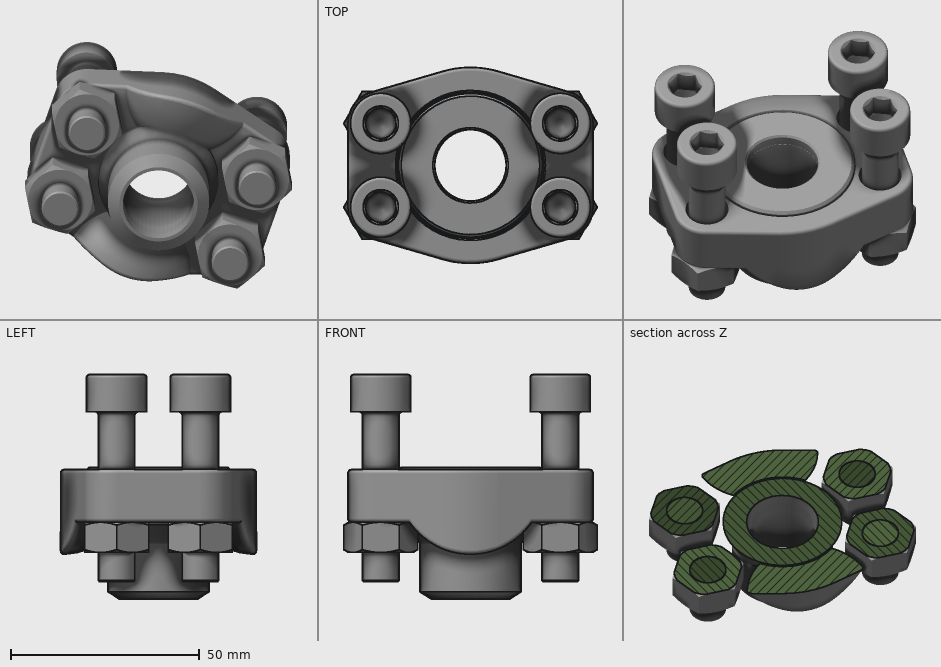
import cadquery as cq
import math


BOLT_SPACING_X = 47.6
BOLT_SPACING_Y = 22.2
BOLT_CENTERS = [
    (side_x * BOLT_SPACING_X / 2, side_y * BOLT_SPACING_Y / 2)
    for side_x in (-1, 1)
    for side_y in (-1, 1)
]

FLANGE_LENGTH = 65.0
FLANGE_WIDTH = 52.0
FLANGE_HEIGHT = 14.0
FLANGE_EDGE_FILLET = 1.0
BOLT_HOLE_DIAMETER = 11.4
LOBE_RADIUS = 21.0
LOBE_DROP = 8.5
LOBE_CENTER_Y = FLANGE_WIDTH / 2

COLLAR_DIAMETER = 38.1
COLLAR_SEAT_DIAMETER = 38.9
COLLAR_SEAT_DEPTH = 6.2
COLLAR_PROTRUSION = 0.6
COLLAR_CHAMFER = 0.7
SEAT_CHAMFER = 0.45
HUB_DIAMETER = 31.6
HUB_HOLE_DIAMETER = 32.15
HUB_TAPER_TOP_Z = -0.6
HUB_BOTTOM_Z = -5.5
HUB_FILLET = 1.0
TUBE_DIAMETER = 26.9
TUBE_BOTTOM_Z = -20.4
TUBE_BEVEL_WIDTH = 3.1
TUBE_BEVEL_HEIGHT = 2.0
BORE_DIAMETER = 18.9
BORE_ENTRY_DIAMETER = 19.0
BORE_ENTRY_DEPTH = 3.0
BORE_CHAMFER = 0.5

SHANK_DIAMETER = 9.73
BOLT_LENGTH = 45.1
HEAD_DIAMETER = 16.0
HEAD_HEIGHT = 9.9
HEAD_TOP_Z = 39.2
HEAD_FILLET = 0.9
NECK_FILLET = 0.9
TIP_CHAMFER = 0.4
SOCKET_WIDTH = 8.0
SOCKET_DEPTH = 6.0
SOCKET_TURN = 38.0
SOCKET_ENTRY_MARGIN = 0.05
SOCKET_CONE_HEIGHT = 2.4

NUT_WIDTH = 17.0
NUT_HEIGHT = 8.0
NUT_CHAMFER_ANGLE = 30.0

HEX_CORNER_RATIO = 1 / math.cos(math.pi / 6)

SMALL_GAP = 0.01


def cylinder(diameter, bottom, top):
    return cq.Workplane("XY").workplane(offset=bottom).circle(diameter / 2).extrude(top - bottom)


def flange_outline():
    """Four corner arcs round the bolts, two end arcs round the bore, joined by tangent lines."""
    bolt_x = BOLT_SPACING_X / 2
    bolt_y = BOLT_SPACING_Y / 2
    half_length = FLANGE_LENGTH / 2
    end_radius = FLANGE_WIDTH / 2
    corner_radius = half_length - bolt_x

    normal_angle = math.atan2(bolt_x, bolt_y) - math.acos(
        (end_radius - corner_radius) / math.hypot(bolt_x, bolt_y)
    )

    def on_corner(angle):
        return (bolt_x + corner_radius * math.sin(angle), bolt_y + corner_radius * math.cos(angle))

    def on_end(angle):
        return (end_radius * math.sin(angle), end_radius * math.cos(angle))

    end_start = on_end(normal_angle)
    corner_start = on_corner(normal_angle)
    corner_middle = on_corner((normal_angle + math.pi / 2) / 2)

    def mirrored(point, side_x, side_y):
        return (side_x * point[0], side_y * point[1])

    return (
        cq.Workplane("XY")
        .moveTo(*mirrored(end_start, -1, 1))
        .threePointArc((0, end_radius), end_start)
        .lineTo(*corner_start)
        .threePointArc(corner_middle, (half_length, bolt_y))
        .lineTo(half_length, -bolt_y)
        .threePointArc(mirrored(corner_middle, 1, -1), mirrored(corner_start, 1, -1))
        .lineTo(*mirrored(end_start, 1, -1))
        .threePointArc((0, -end_radius), mirrored(end_start, -1, -1))
        .lineTo(*mirrored(corner_start, -1, -1))
        .threePointArc(mirrored(corner_middle, -1, -1), (-half_length, -bolt_y))
        .lineTo(-half_length, bolt_y)
        .threePointArc(mirrored(corner_middle, -1, 1), mirrored(corner_start, -1, 1))
        .close()
    )


def make_flange():
    plate = flange_outline().extrude(FLANGE_HEIGHT)
    lobe_space = flange_outline().extrude(-2 * LOBE_DROP)

    body = plate
    for side_y in (-1, 1):
        ball = (
            cq.Workplane("XZ")
            .sphere(LOBE_RADIUS)
            .translate((0, side_y * LOBE_CENTER_Y, LOBE_RADIUS - LOBE_DROP))
        )
        body = body.union(ball.intersect(lobe_space))

    body = body.faces(">Z").edges().fillet(FLANGE_EDGE_FILLET)

    below_plate = cq.selectors.BoxSelector(
        (-FLANGE_LENGTH, -FLANGE_WIDTH, -2 * LOBE_DROP), (FLANGE_LENGTH, FLANGE_WIDTH, SMALL_GAP)
    )
    lobe_seams = cq.selectors.BoxSelector(
        (-SMALL_GAP, -FLANGE_WIDTH, -SMALL_GAP), (SMALL_GAP, FLANGE_WIDTH, SMALL_GAP)
    )
    body = body.edges(below_plate - lobe_seams).fillet(FLANGE_EDGE_FILLET)

    seat_floor = FLANGE_HEIGHT - COLLAR_SEAT_DEPTH
    seat = cylinder(COLLAR_SEAT_DIAMETER, seat_floor, FLANGE_HEIGHT)
    seat_radius = COLLAR_SEAT_DIAMETER / 2
    seat_chamfer = cq.Workplane(
        cq.Solid.makeCone(
            seat_radius,
            seat_radius + SEAT_CHAMFER,
            SEAT_CHAMFER,
            pnt=cq.Vector(0, 0, FLANGE_HEIGHT - SEAT_CHAMFER),
        )
    )
    body = body.cut(seat).cut(seat_chamfer)
    body = body.cut(cylinder(HUB_HOLE_DIAMETER, -LOBE_DROP, FLANGE_HEIGHT))
    for center in BOLT_CENTERS:
        hole = cylinder(BOLT_HOLE_DIAMETER, -LOBE_DROP, FLANGE_HEIGHT)
        body = body.cut(hole.translate((*center, 0)))
    return body


def make_sleeve():
    top = FLANGE_HEIGHT + COLLAR_PROTRUSION
    seat_floor = FLANGE_HEIGHT - COLLAR_SEAT_DEPTH
    collar_radius = COLLAR_DIAMETER / 2
    hub_radius = HUB_DIAMETER / 2
    tube_radius = TUBE_DIAMETER / 2
    bore_radius = BORE_DIAMETER / 2
    entry_radius = BORE_ENTRY_DIAMETER / 2
    profile = (
        cq.Workplane("XZ")
        .moveTo(entry_radius + BORE_CHAMFER, top)
        .lineTo(collar_radius - COLLAR_CHAMFER, top)
        .lineTo(collar_radius, top - COLLAR_CHAMFER)
        .lineTo(collar_radius, seat_floor)
        .lineTo(hub_radius, seat_floor)
        .lineTo(hub_radius, HUB_TAPER_TOP_Z)
        .lineTo(tube_radius, HUB_BOTTOM_Z)
        .lineTo(tube_radius, TUBE_BOTTOM_Z + TUBE_BEVEL_HEIGHT)
        .lineTo(tube_radius - TUBE_BEVEL_WIDTH, TUBE_BOTTOM_Z)
        .lineTo(bore_radius, TUBE_BOTTOM_Z)
        .lineTo(bore_radius, top - BORE_ENTRY_DEPTH)
        .lineTo(entry_radius, top - BORE_ENTRY_DEPTH)
        .lineTo(entry_radius, top - BORE_CHAMFER)
        .close()
    )
    body = profile.revolve(360, (0, 0, 0), (0, 1, 0))
    hub_end = cq.selectors.NearestToPointSelector((0, 0, HUB_BOTTOM_Z))
    return body.edges(hub_end).fillet(HUB_FILLET)


def make_bolt():
    head_bottom = HEAD_TOP_Z - HEAD_HEIGHT
    shank_radius = SHANK_DIAMETER / 2
    tip = head_bottom - BOLT_LENGTH
    head_radius = HEAD_DIAMETER / 2
    body = (
        cq.Workplane("XZ")
        .moveTo(0, HEAD_TOP_Z)
        .lineTo(head_radius - HEAD_FILLET, HEAD_TOP_Z)
        .radiusArc((head_radius, HEAD_TOP_Z - HEAD_FILLET), HEAD_FILLET)
        .lineTo(head_radius, head_bottom)
        .lineTo(shank_radius + NECK_FILLET, head_bottom)
        .radiusArc((shank_radius, head_bottom - NECK_FILLET), -NECK_FILLET)
        .lineTo(shank_radius, tip + TIP_CHAMFER)
        .lineTo(shank_radius - TIP_CHAMFER, tip)
        .lineTo(0, tip)
        .close()
        .revolve(360, (0, 0, 0), (0, 1, 0))
    )
    hexagon = (
        cq.Workplane("XY")
        .workplane(offset=HEAD_TOP_Z - SOCKET_DEPTH)
        .polygon(6, SOCKET_WIDTH * HEX_CORNER_RATIO)
        .extrude(SOCKET_DEPTH)
        .rotate((0, 0, 0), (0, 0, 1), SOCKET_TURN)
    )
    cone = cq.Workplane(
        cq.Solid.makeCone(
            0,
            SOCKET_WIDTH / 2,
            SOCKET_CONE_HEIGHT,
            pnt=cq.Vector(0, 0, HEAD_TOP_Z - SOCKET_DEPTH - SOCKET_CONE_HEIGHT),
        )
    )
    entry_radius = SOCKET_WIDTH * HEX_CORNER_RATIO / 2 + SOCKET_ENTRY_MARGIN
    entry = cq.Workplane(
        cq.Solid.makeCone(
            entry_radius,
            0,
            entry_radius,
            pnt=cq.Vector(0, 0, HEAD_TOP_Z),
            dir=cq.Vector(0, 0, -1),
        )
    )
    return body.cut(hexagon).cut(cone).cut(entry)


def make_nut():
    corner_radius = NUT_WIDTH * HEX_CORNER_RATIO / 2
    face_radius = NUT_WIDTH / 2
    chamfer_height = (corner_radius - face_radius) * math.tan(math.radians(NUT_CHAMFER_ANGLE))
    hexagon = cq.Workplane("XY").polygon(6, 2 * corner_radius).extrude(-NUT_HEIGHT)
    turned = (
        cq.Workplane("XZ")
        .moveTo(0, 0)
        .lineTo(face_radius, 0)
        .lineTo(corner_radius, -chamfer_height)
        .lineTo(corner_radius, chamfer_height - NUT_HEIGHT)
        .lineTo(face_radius, -NUT_HEIGHT)
        .lineTo(0, -NUT_HEIGHT)
        .close()
        .revolve(360, (0, 0, 0), (0, 1, 0))
    )
    return hexagon.intersect(turned).cut(cylinder(SHANK_DIAMETER, -NUT_HEIGHT, 0))


flange = make_flange()
sleeve = make_sleeve()
bolts = [make_bolt().translate((*center, 0)) for center in BOLT_CENTERS]
nuts = [make_nut().translate((*center, 0)) for center in BOLT_CENTERS]

result = cq.Compound.makeCompound(
    [flange.val(), sleeve.val()]
    + [bolt.val() for bolt in bolts]
    + [nut.val() for nut in nuts]
)